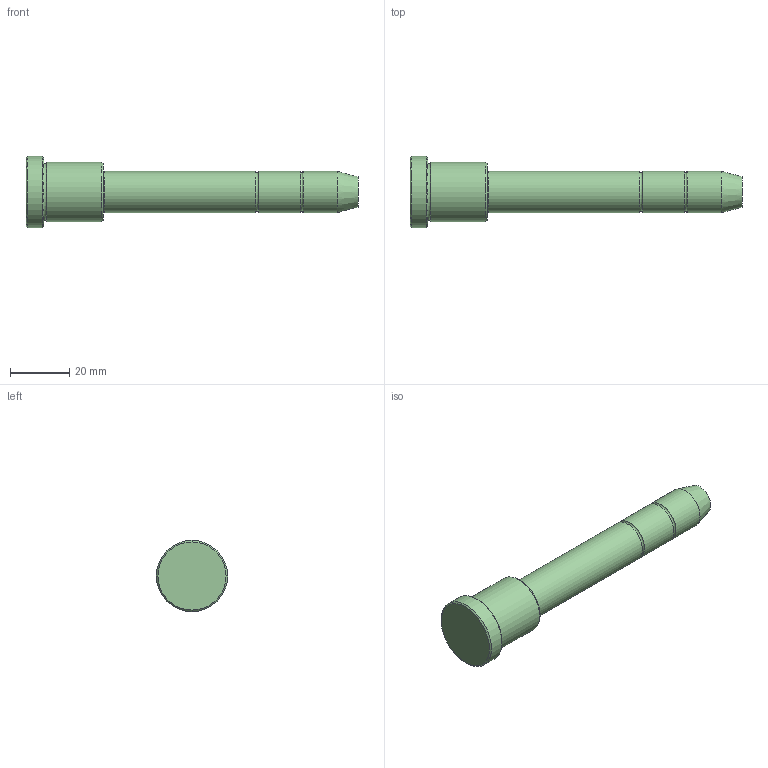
import cadquery as cq
import math


total_length = 112.0

head_diameter = 24.0
head_length = 6.0
head_chamfer = 0.5

shoulder_diameter = 20.0
shoulder_end = 26.0
shoulder_chamfer_length = 0.5
shoulder_chamfer_depth = 0.3
relief_width = 1.0
relief_depth = 0.5

shank_diameter = 14.0
neck_width = 0.4
neck_depth = 0.2
taper_length = 7.0
taper_angle = 15.0

groove_width = 1.0
groove_depth = 0.5
groove_starts = (77.5, 92.5)


def revolve_about_axis(profile):
    """Turn a closed XY profile into a solid around the X axis."""
    return profile.revolve(360, (0, 0, 0), (1, 0, 0))


def cut_round_groove(profile, start, width, depth, radius):
    """Run the outline along the given radius to a groove, then along its round bottom."""
    bottom = (start + width / 2, radius - depth)
    end = (start + width, radius)
    return profile.lineTo(start, radius).threePointArc(bottom, end)


def make_head():
    head = cq.Workplane("YZ").circle(head_diameter / 2).extrude(head_length)
    return head.edges().chamfer(head_chamfer)


def make_shoulder():
    radius = shoulder_diameter / 2
    profile = cq.Workplane("XY").moveTo(head_length, 0)
    profile = cut_round_groove(profile, head_length, relief_width, relief_depth, radius)
    profile = (
        profile
        .lineTo(shoulder_end - shoulder_chamfer_length, radius)
        .lineTo(shoulder_end, radius - shoulder_chamfer_depth)
        .lineTo(shoulder_end, 0)
        .close()
    )
    return revolve_about_axis(profile)


def make_shank():
    radius = shank_diameter / 2
    tip_radius = radius - taper_length * math.tan(math.radians(taper_angle))
    profile = cq.Workplane("XY").moveTo(shoulder_end, 0)
    profile = cut_round_groove(profile, shoulder_end, neck_width, neck_depth, radius)
    for start in groove_starts:
        profile = cut_round_groove(profile, start, groove_width, groove_depth, radius)
    profile = (
        profile
        .lineTo(total_length - taper_length, radius)
        .lineTo(total_length, tip_radius)
        .lineTo(total_length, 0)
        .close()
    )
    return revolve_about_axis(profile)


result = make_head().union(make_shoulder()).union(make_shank())